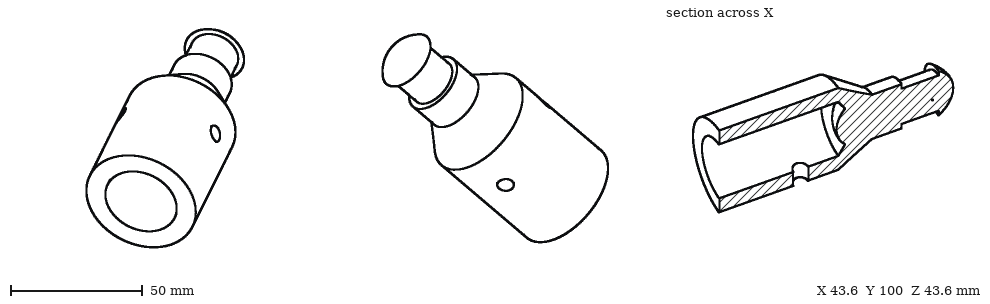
import cadquery as cq
import math


sleeve_diameter = 43.6
bore_diameter = 28.4
collar_diameter = 23.7
stem_diameter = 19.0

sleeve_end = 50.8
taper_end = 65.2
collar_end = 77.9
length = 100.0

bore_depth = sleeve_end
drill_point_angle = 118.0

hole_diameter = 6.3
hole_count = 3
hole_position = 34.8
first_hole_angle = 30.0

sleeve_radius = sleeve_diameter / 2
bore_radius = bore_diameter / 2
collar_radius = collar_diameter / 2
stem_radius = stem_diameter / 2
dome_radius = bore_radius


def dome_height(edge_radius):
    """Height of a dome, from the circle at its edge to its tip."""
    return dome_radius - math.sqrt(dome_radius**2 - edge_radius**2)


def dome_middle(edge_radius, tip, toward_tip):
    """Profile point halfway along a dome; toward_tip is +1 if it points to +Y, -1 if to -Y."""
    half_angle = math.asin(edge_radius / dome_radius) / 2
    drop = dome_radius * (1 - math.cos(half_angle))
    return (dome_radius * math.sin(half_angle), tip - toward_tip * drop)


def revolve_about_y(profile):
    return profile.close().revolve(360, (0, 0, 0), (0, 1, 0))


def make_body():
    """Turned solid: sleeve, taper, collar, stem and domed head."""
    head_base = length - dome_height(collar_radius)
    profile = (
        cq.Workplane("XY")
        .lineTo(sleeve_radius, 0)
        .lineTo(sleeve_radius, sleeve_end)
        .lineTo(collar_radius, taper_end)
        .lineTo(collar_radius, collar_end)
        .lineTo(stem_radius, collar_end)
        .lineTo(stem_radius, head_base)
        .lineTo(collar_radius, head_base)
        .threePointArc(dome_middle(collar_radius, length, 1), (0, length))
    )
    return revolve_about_y(profile)


def make_bore():
    """Cutter for the bore and its conical bottom, leaving a dome that faces the open end."""
    cone_length = (bore_radius - stem_radius) / math.tan(math.radians(drill_point_angle / 2))
    cone_end = bore_depth + cone_length
    dome_tip = cone_end - dome_height(stem_radius)
    profile = (
        cq.Workplane("XY")
        .lineTo(bore_radius, 0)
        .lineTo(bore_radius, bore_depth)
        .lineTo(stem_radius, cone_end)
        .threePointArc(dome_middle(stem_radius, dome_tip, -1), (0, dome_tip))
    )
    return revolve_about_y(profile)


def make_hole(angle):
    """Cutter from the axis outward, at an angle about Y measured from +X toward +Z."""
    start = cq.Vector(0, hole_position, 0)
    direction = cq.Vector(math.cos(math.radians(angle)), 0, math.sin(math.radians(angle)))
    return cq.Workplane(cq.Solid.makeCylinder(hole_diameter / 2, sleeve_diameter, start, direction))


result = make_body().cut(make_bore())
for index in range(hole_count):
    result = result.cut(make_hole(first_hole_angle + index * 360 / hole_count))